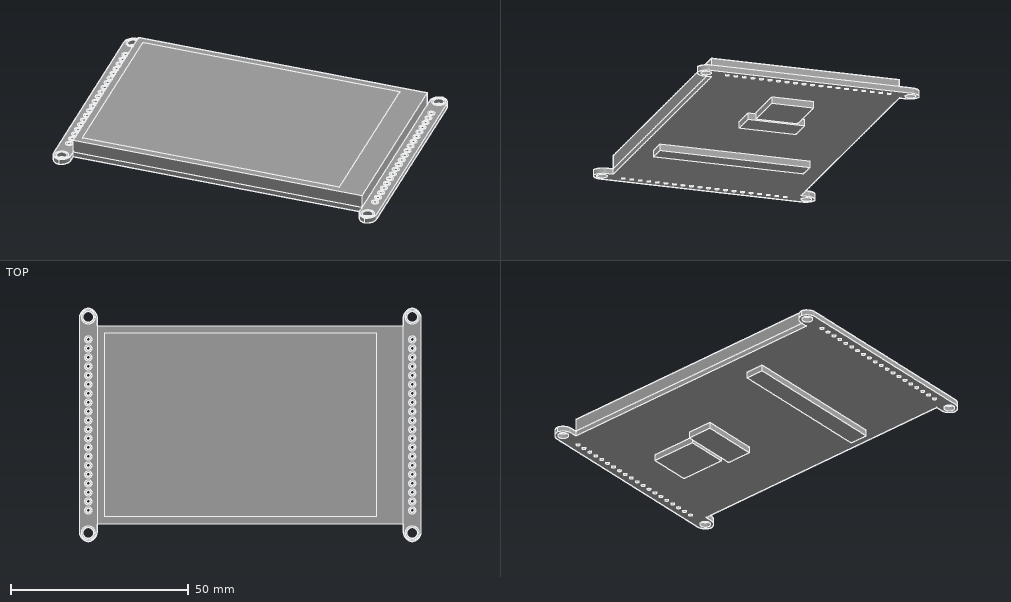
import cadquery as cq

board_length = 96.5
board_width = 66.0
total_height = 7.5

pin_count = 20
pin_span = 48.3
pin_pitch = pin_span / (pin_count - 1)
pin_hole_diameter = 1.1
pin_pad_diameter = 2.0

board_thickness = 1.6
strip_width = 2 * pin_pitch
strip_end_rise = 2.6
strip_end_radius = 3.1
mount_hole_diameter = 3.0
mount_pad_diameter = 4.0
pad_recess = 0.05

component_height = 1.9
components = [
    (-32.7, -18.7, -6.0, 6.5),
    (-17.8, -10.0, -8.4, 8.5),
    (15.0, 20.6, -21.0, 23.6),
]

display_length = board_length - 2 * strip_width
display_width = 56.0
display_height = total_height - component_height - board_thickness
screen_length = 76.8
screen_width = 51.8
screen_margin = 2.0
screen_thickness = 1.0

board_top = board_thickness
display_top = board_top + display_height

sides = (-1, 1)
strip_x = (board_length - strip_width) / 2
mount_y = (board_width - strip_width) / 2
mount_points = [(x_side * strip_x, y_side * mount_y) for x_side in sides for y_side in sides]
pin_points = [
    (x_side * strip_x, index * pin_pitch - pin_span / 2)
    for x_side in sides
    for index in range(pin_count)
]


def make_strip():
    """Mounting strip along Y; two arcs meet in a blunt point at each end."""
    half_width = strip_width / 2
    tip_y = board_width / 2
    side_y = tip_y - strip_end_rise
    return (
        cq.Workplane("XY")
        .moveTo(half_width, -side_y)
        .lineTo(half_width, side_y)
        .radiusArc((0, tip_y), -strip_end_radius)
        .radiusArc((-half_width, side_y), -strip_end_radius)
        .lineTo(-half_width, -side_y)
        .radiusArc((0, -tip_y), -strip_end_radius)
        .radiusArc((half_width, -side_y), -strip_end_radius)
        .close()
        .extrude(board_thickness)
    )


def cut_ringed_holes(board, points, hole_diameter, pad_diameter):
    """Through holes, each in a shallow round pad recess in the top face."""
    holes = cq.Workplane("XY").pushPoints(points).circle(hole_diameter / 2).extrude(board_thickness)
    pads = (
        cq.Workplane("XY")
        .workplane(offset=board_top - pad_recess)
        .pushPoints(points)
        .circle(pad_diameter / 2)
        .extrude(pad_recess)
    )
    return board.cut(holes).cut(pads)


def make_component(x_start, x_end, y_start, y_end):
    """Rectangular component hanging below the board."""
    block = cq.Workplane("XY").box(x_end - x_start, y_end - y_start, component_height, centered=False)
    return block.translate((x_start, y_start, -component_height))


def make_board():
    """Circuit board with its strips, holes and underside components."""
    board = cq.Workplane("XY").rect(display_length, display_width).extrude(board_thickness)
    for x_side in sides:
        board = board.union(make_strip().translate((x_side * strip_x, 0, 0)))
    board = cut_ringed_holes(board, mount_points, mount_hole_diameter, mount_pad_diameter)
    board = cut_ringed_holes(board, pin_points, pin_hole_diameter, pin_pad_diameter)
    for extents in components:
        board = board.union(make_component(*extents))
    return board


def make_screen():
    """Screen plate, flush with the top of the display frame."""
    screen_x = -display_length / 2 + screen_margin + screen_length / 2
    return (
        cq.Workplane("XY")
        .workplane(offset=display_top - screen_thickness)
        .center(screen_x, 0)
        .rect(screen_length, screen_width)
        .extrude(screen_thickness)
    )


def make_display_frame(screen):
    """Display frame on the board, with a pocket that holds the screen."""
    frame = (
        cq.Workplane("XY")
        .workplane(offset=board_top)
        .rect(display_length, display_width)
        .extrude(display_height)
    )
    return frame.cut(screen)


board = make_board()
screen = make_screen()
display_frame = make_display_frame(screen)

result = cq.Compound.makeCompound([
    board.solids().val(),
    display_frame.solids().val(),
    screen.val(),
])